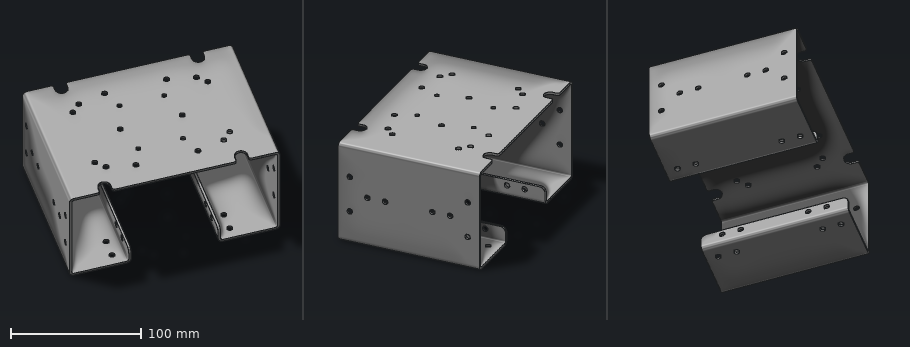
import cadquery as cq
import math

width = 120.0
depth = 170.0
height = 85.0

thickness = 2.0
bend_radius = 3.9
inner_bend_radius = bend_radius - thickness
flange_length = 50.0
lip_height = 15.0
lip_corner_radius = 5.0
lip_face_y = depth / 2 - flange_length
lip_back_y = lip_face_y + thickness
lip_bend_y = lip_face_y + bend_radius

notch_width = 10.0
notch_depth = 10.2
notch_mouth_radius = 2.0
notch_y = 55.0

hole_diameter = 4.5
small_hole_diameter = 3.5

outer_column_x = 50.0
middle_column_x = 35.0

plate_row_x = 40.0
plate_row_y = 25.0
plate_small_x = 24.0
plate_small_y = 18.0
plate_inner_x = 28.0
plate_inner_y = 54.4
flange_hole_y = 47.5

wall_inner_x = 20.0
wall_hole_rise = 15.0

lip_hole_columns = (27.5, 42.5)
lip_hole_z = 10.0


def both_sides(x, y):
    """The two points at (+-x, y)."""
    return [(-x, y), (x, y)]


def mirrored(x, y):
    """The four points at (+-x, +-y)."""
    return both_sides(x, -y) + both_sides(x, y)


def block(y_size, z_size, z_bottom):
    """A box over the full width, centred in X and Y, placed by its bottom face."""
    plane = cq.Workplane("XY", origin=(0, 0, z_bottom))
    return plane.box(width, y_size, z_size, centered=(True, True, False))


def make_tube():
    """Rounded rectangular tube along X: top plate, two walls and an uncut floor."""
    outer = block(depth, height, 0).edges("|X").fillet(bend_radius)
    inner = block(depth - 2 * thickness, height - 2 * thickness, thickness)
    return outer.cut(inner.edges("|X").fillet(inner_bend_radius))


def bend_midpoint(radius):
    """Middle (y, z) of a quarter arc about the centre of the lip's bend."""
    offset = radius * math.sqrt(0.5)
    return (lip_bend_y - offset, bend_radius - offset)


def make_lip():
    """Upturned lip with its bend on the +Y side, rounded at both top corners."""
    profile = (
        cq.Workplane("YZ", origin=(-width / 2, 0, 0))
        .moveTo(lip_bend_y, 0)
        .threePointArc(bend_midpoint(bend_radius), (lip_face_y, bend_radius))
        .lineTo(lip_face_y, lip_height)
        .lineTo(lip_back_y, lip_height)
        .lineTo(lip_back_y, bend_radius)
        .threePointArc(bend_midpoint(inner_bend_radius), (lip_bend_y, thickness))
        .close()
    )
    return profile.extrude(width).edges("|Y and >Z").fillet(lip_corner_radius)


def make_sheet():
    """Tube with its floor opened between the flanges, and a lip on each flange."""
    floor_opening = block(2 * lip_bend_y, thickness, 0)
    lip = make_lip()
    return make_tube().cut(floor_opening).union(lip).union(lip.mirror("XZ"))


def make_notch():
    """Cutter for a round-ended notch with a flared mouth, in the +X edge at Y = 0."""
    edge_x = width / 2
    end_x = edge_x - notch_depth
    half = notch_width / 2
    flare = notch_mouth_radius
    outline = (
        cq.Workplane("XY", origin=(0, 0, height - thickness))
        .moveTo(edge_x, half + flare)
        .radiusArc((edge_x - flare, half), flare)
        .lineTo(end_x + half, half)
        .threePointArc((end_x, 0), (end_x + half, -half))
        .lineTo(edge_x - flare, -half)
        .radiusArc((edge_x, -half - flare), flare)
        .close()
    )
    return outline.extrude(thickness)


def vertical_holes(points, diameter, z_bottom):
    """Cutters for round holes at (x, y) points, through one sheet thickness."""
    plane = cq.Workplane("XY", origin=(0, 0, z_bottom))
    return plane.pushPoints(points).circle(diameter / 2).extrude(thickness)


def crosswise_holes(points, half_length):
    """Cutters for round holes at (x, z) points, along Y to either side of Y = 0."""
    circles = cq.Workplane("XZ").pushPoints(points).circle(hole_diameter / 2)
    return circles.extrude(half_length, both=True)


result = make_sheet()

right_notch = make_notch()
for notch in (right_notch, right_notch.mirror("YZ")):
    for y in (-notch_y, notch_y):
        result = result.cut(notch.translate((0, y, 0)))

plate_bottom_z = height - thickness
plate_holes = (
    mirrored(plate_row_x, plate_row_y)
    + [(0, -plate_row_y), (0, plate_row_y)]
    + mirrored(middle_column_x, flange_hole_y)
    + mirrored(plate_inner_x, plate_inner_y)
)
plate_small_holes = mirrored(plate_small_x, plate_small_y)
result = result.cut(vertical_holes(plate_holes, hole_diameter, plate_bottom_z))
result = result.cut(vertical_holes(plate_small_holes, small_hole_diameter, plate_bottom_z))

flange_holes = mirrored(middle_column_x, flange_hole_y) + mirrored(outer_column_x, flange_hole_y)
result = result.cut(vertical_holes(flange_holes, hole_diameter, 0))

mid_height = height / 2
wall_holes = (
    both_sides(outer_column_x, mid_height - wall_hole_rise)
    + both_sides(outer_column_x, mid_height + wall_hole_rise)
    + both_sides(middle_column_x, mid_height)
    + both_sides(wall_inner_x, mid_height)
)
result = result.cut(crosswise_holes(wall_holes, depth / 2))

for x in lip_hole_columns:
    result = result.cut(crosswise_holes(both_sides(x, lip_hole_z), lip_back_y))